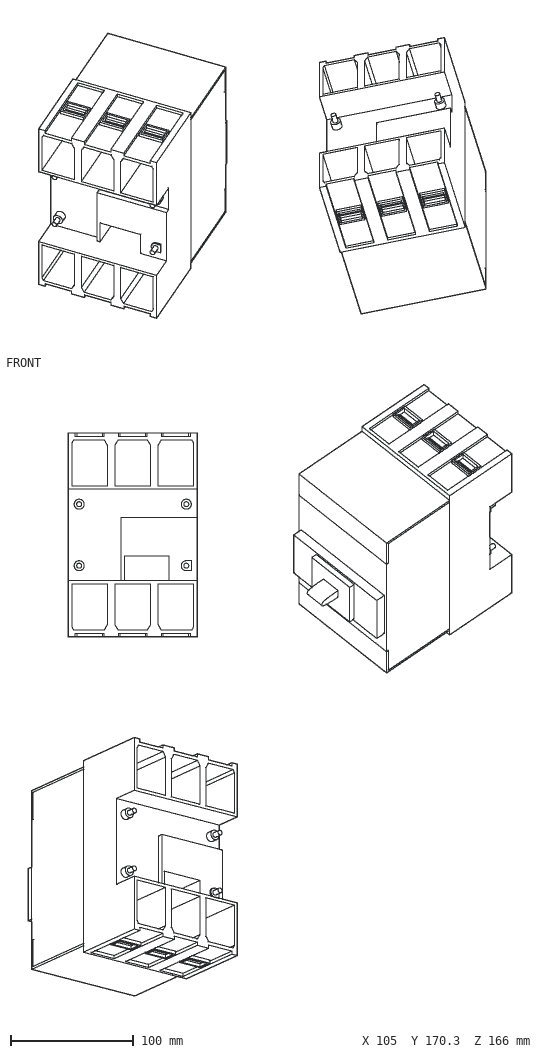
import cadquery as cq


WIDTH = 105.0
TOTAL_DEPTH = 170.3

BASE_HEIGHT = 166.0
BASE_DEPTH = 69.0
WALL = 2.98
POLE_PITCH = 35.0
POLES = (-1, 0, 1)
ENDS = (-1, 1)

NOTCH_HEIGHT = 74.4
NOTCH_DEPTH = 24.4

POCKET_WIDTH = 29.0
POCKET_HEIGHT = 37.5
POCKET_DEPTH = BASE_DEPTH - WALL
INNER_CHAMFER_X = 2.5
INNER_CHAMFER_Z = 4.3
OUTER_CHAMFER_X = 1.4
OUTER_CHAMFER_Z = 2.5

CHANNEL_WIDTH = 23.5
CHANNEL_DEPTH = 2.7
CHANNEL_LENGTH = POCKET_DEPTH
COLLAR_WIDTH = 20.8
COLLAR_FRONT = 27.8
COLLAR_BACK = 41.2
SLOT_WIDTH = 18.0
SLOT_FRONT = 29.8
SLOT_BACK = 39.7
SLOPE_BACK = 36.8
SLOPE_FRONT = 35.5
SLOPE_DROP = 1.0
STEP_FRONT = 34.7
STEP_DROP = 0.7

PLATE_LEFT = -9.4
PLATE_TOP = 14.3
PLATE_THICKNESS = 4.5
CUTOUT_LEFT = -6.6
CUTOUT_RIGHT = 29.5
CUTOUT_TOP = -17.0

STUD_X = 43.6
STUD_Z = 25.0
BOSS_DIAMETER = 8.2
BOSS_LENGTH = 5.8
PIN_DIAMETER = 4.1
STUD_LENGTH = 12.8

BREAKER_HEIGHT = 155.0
BREAKER_BACK = 139.0
BEZEL_Z = -9.7
BEZEL_WIDTH = 99.6
BEZEL_HEIGHT = 45.3
BEZEL_BACK = 147.3
PLATFORM_WIDTH = 45.5
PLATFORM_HEIGHT = 41.2
PLATFORM_BACK = 152.2

TOGGLE_WIDTH = 17.5
TOGGLE_Z = -7.7
TOGGLE_ROOT_HALF = 3.83
SHOULDER_Y = 163.6
SHOULDER_HALF = 3.49
TIP_Y = 168.5
TIP_HALF = 2.5
ARC_BULGE = 0.09

COVER_THICKNESS = 2.0
COVER_RETURN = 25.4


def block(x_range, y_range, z_range):
    """Box spanning the given ranges; each range may run in either direction."""
    lows = [min(r) for r in (x_range, y_range, z_range)]
    sizes = [abs(r[1] - r[0]) for r in (x_range, y_range, z_range)]
    return cq.Workplane("XY").box(*sizes, centered=False).translate(tuple(lows))


def centred(width, middle=0.0):
    """Range of the given width about its middle."""
    return (middle - width / 2, middle + width / 2)


def terminal_pocket(pole, end):
    """Pocket with chamfered corners on the side towards the end face of the base."""
    x0, x1 = centred(POCKET_WIDTH, pole * POLE_PITCH)
    z_outer = BASE_HEIGHT / 2 - CHANNEL_DEPTH - WALL
    z_inner = z_outer - POCKET_HEIGHT
    inner_chamfer = (INNER_CHAMFER_X, INNER_CHAMFER_Z)
    outer_chamfer = (OUTER_CHAMFER_X, OUTER_CHAMFER_Z)
    left_x, left_z = outer_chamfer if pole == POLES[0] else inner_chamfer
    right_x, right_z = outer_chamfer if pole == POLES[-1] else inner_chamfer
    outline = [
        (x0, z_inner),
        (x1, z_inner),
        (x1, z_outer - right_z),
        (x1 - right_x, z_outer),
        (x0 + left_x, z_outer),
        (x0, z_outer - left_z),
    ]
    points = [(x, end * z) for x, z in outline]
    return cq.Workplane("XZ").polyline(points).close().extrude(-POCKET_DEPTH)


def channel(pole, end):
    """Material removed from an end face: the channel less its collar, plus the stepped slot."""
    x = pole * POLE_PITCH
    face = BASE_HEIGHT / 2
    floor = face - CHANNEL_DEPTH
    depth_range = (end * floor, end * face)
    recess = block(centred(CHANNEL_WIDTH, x), (0, CHANNEL_LENGTH), depth_range)
    collar = block(centred(COLLAR_WIDTH, x), (COLLAR_FRONT, COLLAR_BACK), depth_range)
    slope_end = floor - SLOPE_DROP
    slot_floor = slope_end - STEP_DROP
    profile = [
        (SLOT_BACK, face),
        (SLOT_BACK, floor),
        (SLOPE_BACK, floor),
        (SLOPE_FRONT, slope_end),
        (STEP_FRONT, slope_end),
        (STEP_FRONT, slot_floor),
        (SLOT_FRONT, slot_floor),
        (SLOT_FRONT, face),
    ]
    points = [(y, end * z) for y, z in profile]
    slot = cq.Workplane("YZ").polyline(points).close().extrude(SLOT_WIDTH)
    return recess.cut(collar).union(slot.translate((x - SLOT_WIDTH / 2, 0, 0)))


def stud(x, z, squared):
    """Boss and pin standing on the notch floor; a squared boss is square on its +X side."""
    foot = cq.Workplane("XZ", origin=(x, NOTCH_DEPTH, z))
    body = foot.circle(BOSS_DIAMETER / 2).extrude(BOSS_LENGTH)
    body = body.union(foot.circle(PIN_DIAMETER / 2).extrude(STUD_LENGTH))
    if squared:
        half = (x, x + BOSS_DIAMETER / 2)
        boss_range = (NOTCH_DEPTH - BOSS_LENGTH, NOTCH_DEPTH)
        body = body.union(block(half, boss_range, centred(BOSS_DIAMETER, z)))
    return body


def make_base():
    body = block(centred(WIDTH), (0, BASE_DEPTH), centred(BASE_HEIGHT))
    body = body.cut(block(centred(WIDTH), (0, NOTCH_DEPTH), centred(NOTCH_HEIGHT)))

    notch_bottom = -NOTCH_HEIGHT / 2
    plate_front = NOTCH_DEPTH - PLATE_THICKNESS
    body = body.union(block((PLATE_LEFT, WIDTH / 2), (plate_front, NOTCH_DEPTH), (notch_bottom, PLATE_TOP)))
    cutout_depth = (plate_front, BASE_DEPTH - WALL)
    body = body.cut(block((CUTOUT_LEFT, CUTOUT_RIGHT), cutout_depth, (notch_bottom, CUTOUT_TOP)))

    for end in ENDS:
        for pole in POLES:
            body = body.cut(terminal_pocket(pole, end))
            body = body.cut(channel(pole, end))

    for x in (-STUD_X, STUD_X):
        for z in (-STUD_Z, STUD_Z):
            body = body.union(stud(x, z, squared=x > 0 and z < 0))
    return body


def toggle():
    """Handle tapering in gentle arcs to a rounded tip."""
    shank_middle = ((PLATFORM_BACK + SHOULDER_Y) / 2, (TOGGLE_ROOT_HALF + SHOULDER_HALF) / 2 + ARC_BULGE)
    nose_middle = ((SHOULDER_Y + TIP_Y) / 2, (SHOULDER_HALF + TIP_HALF) / 2 + ARC_BULGE)
    profile = (
        cq.Workplane("YZ")
        .moveTo(PLATFORM_BACK, TOGGLE_ROOT_HALF)
        .threePointArc(shank_middle, (SHOULDER_Y, SHOULDER_HALF))
        .threePointArc(nose_middle, (TIP_Y, TIP_HALF))
        .threePointArc((TOTAL_DEPTH, 0), (TIP_Y, -TIP_HALF))
        .threePointArc((nose_middle[0], -nose_middle[1]), (SHOULDER_Y, -SHOULDER_HALF))
        .threePointArc((shank_middle[0], -shank_middle[1]), (PLATFORM_BACK, -TOGGLE_ROOT_HALF))
        .close()
    )
    return profile.extrude(TOGGLE_WIDTH).translate((-TOGGLE_WIDTH / 2, 0, TOGGLE_Z))


def make_terminal_cover(end):
    """L-shaped cover over one end of the breaker, with a return across its back."""
    outer = end * BREAKER_HEIGHT / 2
    back_range = (BREAKER_BACK - COVER_THICKNESS, BREAKER_BACK)
    leaf = block(centred(WIDTH), (BASE_DEPTH, BREAKER_BACK), (outer - end * COVER_THICKNESS, outer))
    back_return = block(centred(WIDTH), back_range, (outer - end * COVER_RETURN, outer))
    return leaf.union(back_return)


def make_breaker(covers):
    """Breaker case, rebated for the covers, with stepped bezel and toggle."""
    body = block(centred(WIDTH), (BASE_DEPTH, BREAKER_BACK), centred(BREAKER_HEIGHT))
    for cover in covers:
        body = body.cut(cover)
    bezel_z = centred(BEZEL_HEIGHT, BEZEL_Z)
    platform_z = centred(PLATFORM_HEIGHT, BEZEL_Z)
    body = body.union(block(centred(BEZEL_WIDTH), (BREAKER_BACK, BEZEL_BACK), bezel_z))
    body = body.union(block(centred(PLATFORM_WIDTH), (BEZEL_BACK, PLATFORM_BACK), platform_z))
    return body.union(toggle())


base = make_base()
terminal_covers = [make_terminal_cover(end) for end in ENDS]
breaker = make_breaker(terminal_covers)

bodies = [base, breaker, *terminal_covers]
result = cq.Compound.makeCompound([body.solids().val() for body in bodies])